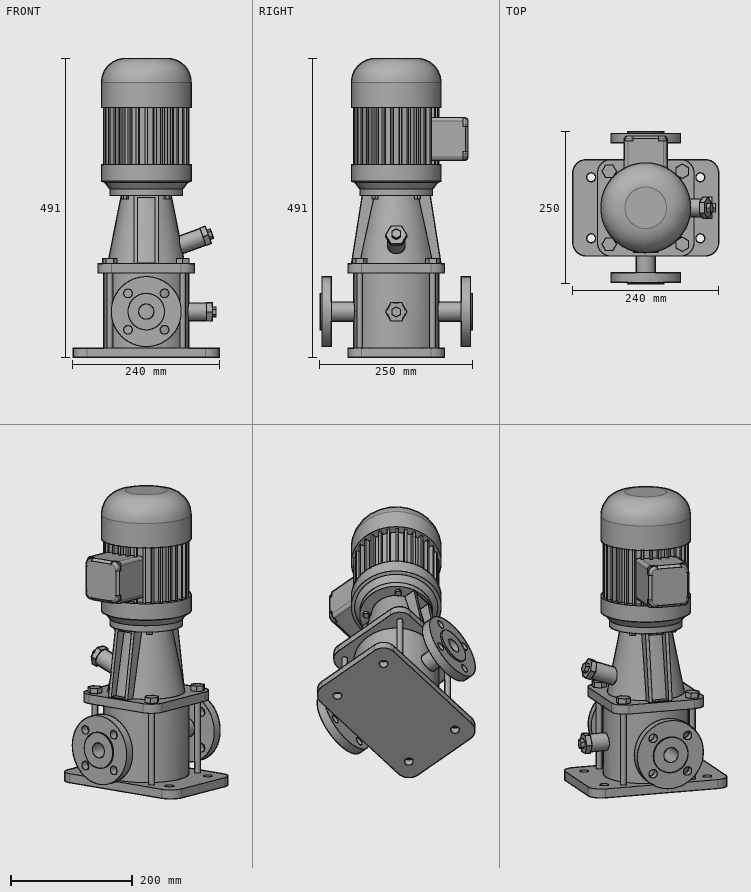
import cadquery as cq
import math

BASE_LENGTH = 240.0
BASE_WIDTH = 158.5
PLATE_THICKNESS = 15.0
CORNER_RADIUS = 22.5
ANCHOR_HOLE_DIAMETER = 14.0
ANCHOR_SPACING_X = 179.0
ANCHOR_SPACING_Y = 100.0

DRUM_DIAMETER = 140.0
HEAD_TOP_Z = 153.5
HEAD_BOTTOM_Z = HEAD_TOP_Z - PLATE_THICKNESS
ROD_DIAMETER = 10.0
ROD_SPACING = 120.0
ROD_NUT_ACROSS_FLATS = 20.5
ROD_NUT_HEIGHT = 9.0

PORT_Z = 75.0
PORT_LENGTH = 250.0 / 2
PORT_PIPE_DIAMETER = 32.0
PORT_BORE_DIAMETER = 25.0
PORT_FLANGE_DIAMETER = 115.0
PORT_FLANGE_THICKNESS = 15.5
PORT_FACE_DIAMETER = 60.0
PORT_FACE_HEIGHT = 2.7
PORT_BOLT_HOLE_DIAMETER = 14.0
PORT_BOLT_SPACING = 60.0

LANTERN_TOP_Z = 265.5
LANTERN_BOTTOM_RADIUS = 63.5
LANTERN_TOP_RADIUS = 41.0
RIB_THICKNESS = 6.0
RIB_CENTER_X = 17.0
RIB_BOTTOM_REACH = 73.5
RIB_TOP_REACH = 56.0
RIB_FOOT_THICKNESS = 1.0
RIB_CAP_THICKNESS = 3.0
MOTOR_BOLT_SPACING = 69.5
MOTOR_BOLT_ACROSS_FLATS = 9.5
MOTOR_BOLT_HEIGHT = 5.5

MOTOR_RADIUS = 148.0 / 2
COLLAR_RADIUS = 120.0 / 2
COLLAR_TOP_Z = 276.5
BELL_NECK_RADIUS = 68.2
BELL_NECK_Z = 287.0
BELL_BOTTOM_Z = 289.0
FINS_BOTTOM_Z = 316.0
FINS_TOP_Z = 410.0
CORE_RADIUS = 62.0
FIN_TIP_RADIUS = 140.0 / 2
FIN_THICKNESS = 4.0
FIN_COUNT = 30
MOTOR_TOP_Z = 491.0
DOME_RADIUS = 40.0

BOX_SIZE = 70.5
BOX_CENTER_Z = 358.5
BOX_INNER_Y = 49.0
BOX_OUTER_Y = 118.0
BOX_EDGE_RADIUS = 6.0
LID_CHAMFER = 4.5
LID_CORNER_SIZE = 14.5
LID_CORNER_DEPTH = 8.5
LID_CORNER_INSET = 1.0
LID_CORNER_RADIUS = 11.0
LID_CORNER_ROUNDING = 4.5

PLUG_DIAMETER = 29.5
PLUG_HEX_ACROSS_FLATS = 30.5
PLUG_HEX_THICKNESS = 9.5
PLUG_TIP_ACROSS_FLATS = 14.0
PLUG_TIP_LENGTH = 6.5
DRAIN_PLUG_AXIS_Z = 74.5
DRAIN_PLUG_LENGTH = 99.0
VENT_PLUG_LENGTH = 99.0
VENT_PLUG_AXIS_Z = 164.0
VENT_PLUG_TILT = 20.0


def square_points(spacing):
    half = spacing / 2
    return [(x, y) for x in (-half, half) for y in (-half, half)]


def across_corners(across_flats):
    return across_flats / math.cos(math.radians(30))


def hexagon(plane, across_flats, height):
    """Hexagonal prism with two corners on the local x axis."""
    return cq.Workplane(plane).polygon(6, across_corners(across_flats)).extrude(height)


def rounded_plate(length, width, bottom_z):
    plate = cq.Workplane("XY").workplane(offset=bottom_z).rect(length, width).extrude(PLATE_THICKNESS)
    return plate.edges("|Z").fillet(CORNER_RADIUS)


def make_base():
    base = rounded_plate(BASE_LENGTH, BASE_WIDTH, 0)
    return (
        base.faces(">Z").workplane()
        .rarray(ANCHOR_SPACING_X, ANCHOR_SPACING_Y, 2, 2)
        .hole(ANCHOR_HOLE_DIAMETER)
    )


def make_pump_body():
    body = cq.Workplane("XY").circle(DRUM_DIAMETER / 2).extrude(HEAD_TOP_Z)
    body = body.union(rounded_plate(BASE_WIDTH, BASE_WIDTH, HEAD_BOTTOM_Z))
    rods = cq.Workplane("XY").pushPoints(square_points(ROD_SPACING)).circle(ROD_DIAMETER / 2)
    body = body.union(rods.extrude(HEAD_TOP_Z))
    for x, y in square_points(ROD_SPACING):
        corner_direction = (1, 0, 0) if x < 0 else (0, 1, 0)
        plane = cq.Plane(origin=(x, y, HEAD_TOP_Z), xDir=corner_direction, normal=(0, 0, 1))
        body = body.union(hexagon(plane, ROD_NUT_ACROSS_FLATS, ROD_NUT_HEIGHT))
    return body


def port_plane(side, distance):
    return cq.Plane(origin=(0, side * distance, PORT_Z), xDir=(1, 0, 0), normal=(0, side, 0))


def add_port(pump, side):
    """Flanged pipe on the given Y side, bored as far as the drum wall."""
    face_y = PORT_LENGTH - PORT_FACE_HEIGHT
    flange_y = face_y - PORT_FLANGE_THICKNESS
    pipe = cq.Workplane(port_plane(side, 0)).circle(PORT_PIPE_DIAMETER / 2).extrude(PORT_LENGTH)
    flange = (
        cq.Workplane(port_plane(side, flange_y))
        .circle(PORT_FLANGE_DIAMETER / 2).extrude(PORT_FLANGE_THICKNESS)
        .faces(">Y" if side > 0 else "<Y").workplane(origin=(0, 0, PORT_Z))
        .pushPoints(square_points(PORT_BOLT_SPACING)).hole(PORT_BOLT_HOLE_DIAMETER)
    )
    face = cq.Workplane(port_plane(side, face_y)).circle(PORT_FACE_DIAMETER / 2).extrude(PORT_FACE_HEIGHT)
    bore = cq.Workplane(port_plane(side, 0)).circle(PORT_BORE_DIAMETER / 2).extrude(PORT_LENGTH)
    drum = cq.Workplane("XY").circle(DRUM_DIAMETER / 2).extrude(HEAD_TOP_Z)
    return pump.union(pipe).union(flange).union(face).cut(bore.cut(drum))


def rib_profile_slab(thickness):
    """Slab centred on X = 0 with the tapering side outline of the ribs."""
    outline = [
        (-RIB_BOTTOM_REACH, HEAD_TOP_Z),
        (RIB_BOTTOM_REACH, HEAD_TOP_Z),
        (RIB_TOP_REACH, LANTERN_TOP_Z),
        (-RIB_TOP_REACH, LANTERN_TOP_Z),
    ]
    return cq.Workplane("YZ").polyline(outline).close().extrude(thickness / 2, both=True)


def make_lantern():
    lantern = (
        cq.Workplane("XZ")
        .moveTo(0, HEAD_TOP_Z)
        .lineTo(LANTERN_BOTTOM_RADIUS, HEAD_TOP_Z)
        .lineTo(LANTERN_TOP_RADIUS, LANTERN_TOP_Z)
        .lineTo(0, LANTERN_TOP_Z)
        .close()
        .revolve(360, (0, 0, 0), (0, 1, 0))
    )
    rib = rib_profile_slab(RIB_THICKNESS)
    for x in (-RIB_CENTER_X, RIB_CENTER_X):
        lantern = lantern.union(rib.translate((x, 0, 0)))
    channel = rib_profile_slab(2 * RIB_CENTER_X)
    cap_bottom_z = LANTERN_TOP_Z - RIB_CAP_THICKNESS
    for bottom_z, thickness in ((HEAD_TOP_Z, RIB_FOOT_THICKNESS), (cap_bottom_z, RIB_CAP_THICKNESS)):
        layer = cq.Workplane("XY").workplane(offset=bottom_z).rect(BASE_WIDTH, BASE_WIDTH).extrude(thickness)
        lantern = lantern.union(channel.intersect(layer))
    for x, y in square_points(MOTOR_BOLT_SPACING):
        plane = cq.Plane(origin=(x, y, LANTERN_TOP_Z - MOTOR_BOLT_HEIGHT))
        lantern = lantern.union(hexagon(plane, MOTOR_BOLT_ACROSS_FLATS, MOTOR_BOLT_HEIGHT))
    return lantern


def make_motor():
    dome_start_z = MOTOR_TOP_Z - DOME_RADIUS
    dome_flat_radius = MOTOR_RADIUS - DOME_RADIUS
    diagonal = DOME_RADIUS * math.sin(math.radians(45))
    motor = (
        cq.Workplane("XZ")
        .moveTo(0, LANTERN_TOP_Z)
        .lineTo(COLLAR_RADIUS, LANTERN_TOP_Z)
        .lineTo(COLLAR_RADIUS, COLLAR_TOP_Z)
        .lineTo(BELL_NECK_RADIUS, BELL_NECK_Z)
        .lineTo(MOTOR_RADIUS, BELL_BOTTOM_Z)
        .lineTo(MOTOR_RADIUS, FINS_BOTTOM_Z)
        .lineTo(CORE_RADIUS, FINS_BOTTOM_Z)
        .lineTo(CORE_RADIUS, FINS_TOP_Z)
        .lineTo(MOTOR_RADIUS, FINS_TOP_Z)
        .lineTo(MOTOR_RADIUS, dome_start_z)
        .threePointArc(
            (dome_flat_radius + diagonal, dome_start_z + diagonal),
            (dome_flat_radius, MOTOR_TOP_Z),
        )
        .lineTo(0, MOTOR_TOP_Z)
        .close()
        .revolve(360, (0, 0, 0), (0, 1, 0))
    )
    fin_root_radius = CORE_RADIUS - FIN_THICKNESS
    fin_length = FIN_TIP_RADIUS - fin_root_radius
    fins = (
        cq.Workplane("XY").workplane(offset=FINS_BOTTOM_Z)
        .polarArray((fin_root_radius + FIN_TIP_RADIUS) / 2, -90, 360, FIN_COUNT)
        .rect(fin_length, FIN_THICKNESS)
        .extrude(FINS_TOP_Z - FINS_BOTTOM_Z)
    )
    return motor.union(fins)


def rounded_block(size, edge_radius):
    """Square block along Y from the motor core to the lid face, its long edges rounded."""
    depth = BOX_OUTER_Y - BOX_INNER_Y
    block = cq.Workplane("XY").box(size, depth, size).edges("|Y").fillet(edge_radius)
    return block.translate((0, BOX_INNER_Y + depth / 2, BOX_CENTER_Z))


def make_terminal_box():
    box = rounded_block(BOX_SIZE, BOX_EDGE_RADIUS).faces(">Y").edges().chamfer(LID_CHAMFER)
    corner_blocks = (
        cq.Workplane(cq.Plane(origin=(0, BOX_OUTER_Y, BOX_CENTER_Z), xDir=(1, 0, 0), normal=(0, -1, 0)))
        .pushPoints(square_points(BOX_SIZE - LID_CORNER_SIZE))
        .rect(LID_CORNER_SIZE, LID_CORNER_SIZE)
        .extrude(LID_CORNER_DEPTH)
    )
    boss_outline = rounded_block(BOX_SIZE - 2 * LID_CORNER_INSET, LID_CORNER_RADIUS)
    boss_outline = boss_outline.faces(">Y").edges().fillet(LID_CORNER_ROUNDING)
    return box.cut(corner_blocks).union(corner_blocks.intersect(boss_outline))


def make_plug(axis_z, tilt, length):
    """Plug whose axis leaves the pump centre line towards +X, rising by the tilt angle."""
    angle = math.radians(tilt)
    axis = cq.Vector(math.cos(angle), 0, math.sin(angle))
    start = cq.Vector(0, 0, axis_z)
    hex_start = start + axis * length
    tip_start = hex_start + axis * PLUG_HEX_THICKNESS
    sideways = cq.Vector(0, 1, 0)
    upright = axis.cross(sideways)
    stem = cq.Workplane(cq.Plane(start, sideways, axis)).circle(PLUG_DIAMETER / 2).extrude(length)
    head = hexagon(cq.Plane(hex_start, sideways, axis), PLUG_HEX_ACROSS_FLATS, PLUG_HEX_THICKNESS)
    tip = hexagon(cq.Plane(tip_start, upright, axis), PLUG_TIP_ACROSS_FLATS, PLUG_TIP_LENGTH)
    return stem.union(head).union(tip)


pump = make_base().union(make_pump_body())
for port_side in (-1, 1):
    pump = add_port(pump, port_side)

result = (
    pump
    .union(make_lantern())
    .union(make_motor())
    .union(make_terminal_box())
    .union(make_plug(DRAIN_PLUG_AXIS_Z, 0, DRAIN_PLUG_LENGTH))
    .union(make_plug(VENT_PLUG_AXIS_Z, VENT_PLUG_TILT, VENT_PLUG_LENGTH))
)